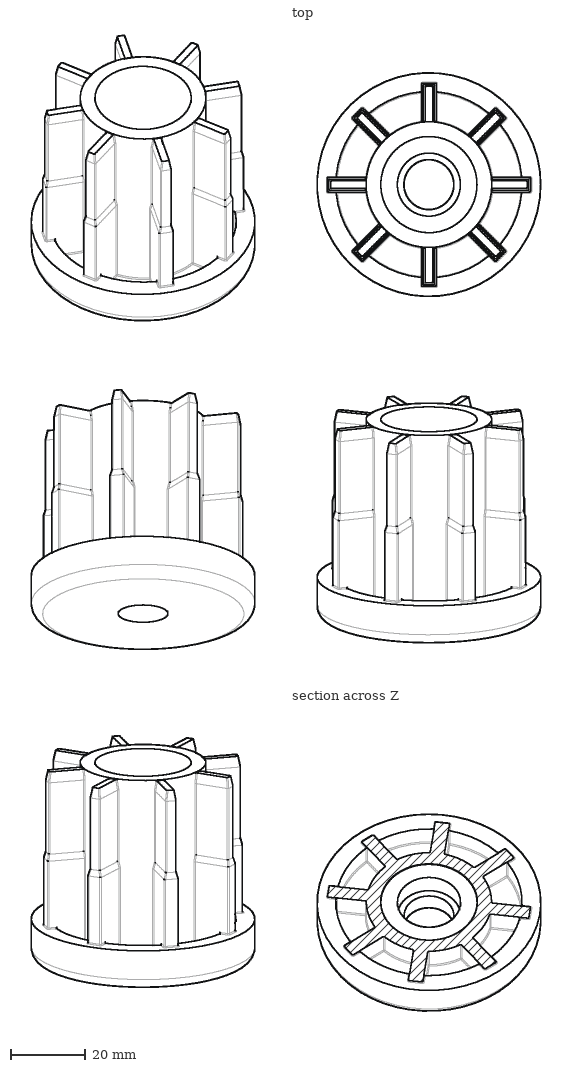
import cadquery as cq
import math

flange_radius = 30.15
total_height = 55.0

flange_height = 11.05
flange_bottom_fillet = 3.0
recess_radius = 25.1
recess_depth = 5.8
recess_floor = flange_height - recess_depth

tube_radius = 16.95
bore_radius = 12.95
bore_floor = flange_height
counterbore_radius = 8.5
counterbore_floor = recess_floor
hole_radius = 6.7

rib_count = 8
lower_thickness = 4.0
upper_thickness = 3.0
tip_thickness = 2.05
lower_reach = 27.4
upper_reach = 26.95
tip_reach = 26.5
lower_top = 30.1
upper_bottom = 31.9
rib_top_step = 0.2
tip_height = 2.85
rib_top = total_height - rib_top_step
upper_top = rib_top - tip_height
rib_root = (bore_radius + tube_radius) / 2

small_fillet = 0.3

tolerance = 0.005


def make_cylinder(radius, bottom, top):
    return cq.Workplane("XY", origin=(0, 0, bottom)).circle(radius).extrude(top - bottom)


def rib_section(thickness, reach, height):
    """Outline of the rib along +X at the given height, with its two outer corners rounded."""
    half = thickness / 2
    inset = small_fillet * (1 - math.sqrt(0.5))
    return (
        cq.Workplane("XY", origin=(0, 0, height))
        .moveTo(rib_root, -half)
        .lineTo(reach - small_fillet, -half)
        .threePointArc((reach - inset, inset - half), (reach, small_fillet - half))
        .lineTo(reach, half - small_fillet)
        .threePointArc((reach - inset, half - inset), (reach - small_fillet, half))
        .lineTo(rib_root, half)
        .close()
        .val()
    )


def make_rib():
    """Rib along +X that steps in at mid height and tapers at its tip."""
    sections = [
        rib_section(lower_thickness, lower_reach, recess_floor),
        rib_section(lower_thickness, lower_reach, lower_top),
        rib_section(upper_thickness, upper_reach, upper_bottom),
        rib_section(upper_thickness, upper_reach, upper_top),
        rib_section(tip_thickness, tip_reach, rib_top),
    ]
    return cq.Workplane(cq.Solid.makeLoft(sections, True))


def make_flange():
    flange = make_cylinder(flange_radius, 0, flange_height)
    flange = flange.faces("<Z").edges().fillet(flange_bottom_fillet)
    return flange.cut(make_cylinder(recess_radius, recess_floor, flange_height))


def lies_at_radius(edge, radius):
    """True if the edge stays at the given distance from the Z axis."""
    points = edge.positions([0, 0.5, 1])
    return all(abs(math.hypot(p.x, p.y) - radius) < tolerance for p in points)


def is_inner_corner(edge):
    """True for the edges around the rib feet, the recess floor and the rib-to-tube joints."""
    box = edge.BoundingBox()
    if box.zmin > flange_height + tolerance:
        return lies_at_radius(edge, tube_radius) and box.zlen > tolerance
    if box.zmax > flange_height + tolerance:
        return lies_at_radius(edge, tube_radius)
    if box.zmin < recess_floor - tolerance or lies_at_radius(edge, flange_radius):
        return False
    is_recess_rim = box.zmin > flange_height - tolerance and lies_at_radius(edge, recess_radius)
    return not is_recess_rim


body = make_flange().union(make_cylinder(tube_radius, 0, total_height))
rib = make_rib()
for index in range(rib_count):
    body = body.union(rib.rotate((0, 0, 0), (0, 0, 1), index * 360 / rib_count))

inner_corners = [edge for edge in body.edges().vals() if is_inner_corner(edge)]
body = body.newObject(inner_corners).fillet(small_fillet)

body = body.cut(make_cylinder(bore_radius, bore_floor, total_height))
body = body.cut(make_cylinder(counterbore_radius, counterbore_floor, bore_floor))
result = body.cut(make_cylinder(hole_radius, 0, counterbore_floor))